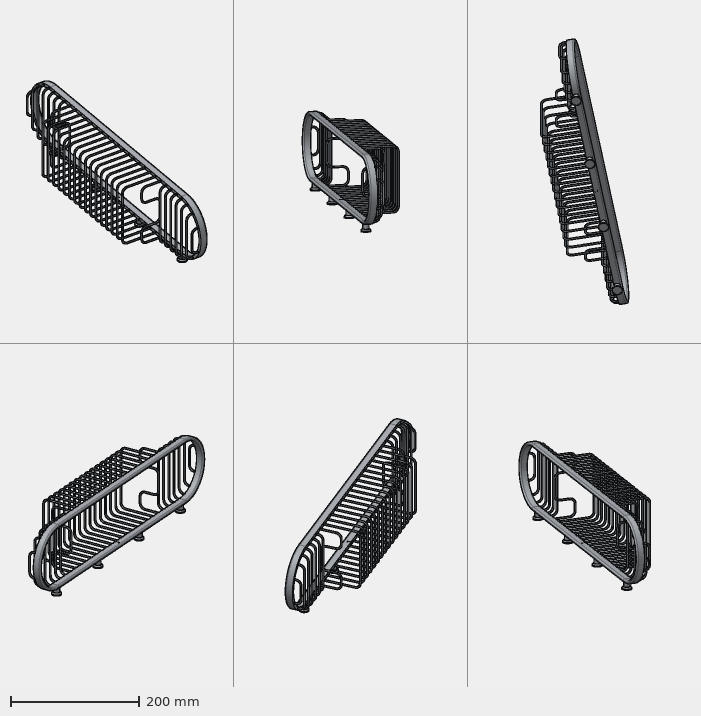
import cadquery as cq
import math

ring_length = 481.0
ring_height = 110.5
ring_bar = 6.0
ring_depth = 13.0
back_round = 2.65
hole_dia = 4.0
hole_depth = 6.3

wire_dia = 3.0
bend_radius = 9.0
wire_span = 465.0
long_per_side = 8
hooks_per_side = 1
short_per_side = 7
overall_depth = 76.5
hook_depth = 50.5
short_depth = 26.0
hook_leg_z = 22.5

foot_count = 4
wires_per_foot = 8
foot_height = 13.0
stem_dia = 10.0
disc_dia = 16.0
disc_thickness = 2.0
cone_height = 2.5
cone_top_dia = 12.0

end_radius = ring_height / 2
end_center_x = ring_length / 2 - end_radius
mid_radius = end_radius - ring_bar / 2
anchor_y = -ring_depth / 2
wire_radius = wire_dia / 2
wires_per_side = long_per_side + hooks_per_side + short_per_side
wire_pitch = wire_span / (2 * wires_per_side - 1)
foot_pitch = wires_per_foot * wire_pitch


def make_ring():
    """Flat-bar stadium ring with a rounded back and one blind hole in the lower bar."""
    outer = cq.Workplane("XZ").slot2D(ring_length, ring_height).extrude(ring_depth)
    inner_length = ring_length - 2 * ring_bar
    inner_height = ring_height - 2 * ring_bar
    inner = cq.Workplane("XZ").slot2D(inner_length, inner_height).extrude(ring_depth)
    ring = outer.cut(inner).faces(">Y").edges().fillet(back_round)
    front_face = cq.Workplane("XZ", origin=(0, -ring_depth, -mid_radius))
    hole = front_face.circle(hole_dia / 2).extrude(-hole_depth)
    return ring.cut(hole)


def ring_mid_z(x):
    """Height of the middle of the ring bar at a given X."""
    beyond = max(abs(x) - end_center_x, 0)
    return math.sqrt(mid_radius**2 - beyond**2)


def step_from(start, target, distance):
    """Point a given distance from start toward target."""
    share = distance / math.dist(start, target)
    return tuple(s + share * (t - s) for s, t in zip(start, target))


def bent_wire(x, corners):
    """Round wire at X along straight (y, z) runs joined by rounded bends."""
    path = cq.Workplane("YZ", origin=(x, 0, 0)).moveTo(*corners[0])
    for before, corner, after in zip(corners, corners[1:], corners[2:]):
        entry = step_from(corner, before, bend_radius)
        leave = step_from(corner, after, bend_radius)
        path = path.lineTo(*entry).tangentArcPoint(leave, relative=False)
    path = path.lineTo(*corners[-1])
    start_y, start_z = corners[0]
    profile = cq.Workplane("XZ", origin=(x, start_y, start_z)).circle(wire_radius)
    return profile.sweep(path)


def make_loop(x, depth):
    """U-shaped wire from the upper bar, out to depth and back to the lower bar."""
    z = ring_mid_z(x)
    front_y = wire_radius - depth
    return bent_wire(x, [(anchor_y, z), (front_y, z), (front_y, -z), (anchor_y, -z)])


def make_hook(x):
    """Serpentine wire: an upper and a lower bay joined by an upright near the ring."""
    z = ring_mid_z(x)
    front_y = wire_radius - hook_depth
    upright_y = -ring_depth - wire_radius
    upper = [(anchor_y, z), (front_y, z), (front_y, hook_leg_z), (upright_y, hook_leg_z)]
    lower = [(y, -z_corner) for y, z_corner in reversed(upper)]
    return bent_wire(x, upper + lower)


def make_foot(x):
    """Stem with a flared disc, revolved about a vertical axis; disc back flush with the ring."""
    bottom = -end_radius - foot_height
    disc_top = bottom + disc_thickness
    profile = [
        (0, bottom),
        (disc_dia / 2, bottom),
        (disc_dia / 2, disc_top),
        (cone_top_dia / 2, disc_top + cone_height),
        (stem_dia / 2, disc_top + cone_height),
        (stem_dia / 2, -mid_radius),
        (0, -mid_radius),
    ]
    foot = cq.Workplane("XZ").polyline(profile).close().revolve(360, (0, 0), (0, 1))
    return foot.translate((x, -disc_dia / 2, 0))


result = make_ring()

for index in range(wires_per_side):
    for side in (-1, 1):
        wire_x = side * (index + 0.5) * wire_pitch
        if index < long_per_side:
            wire = make_loop(wire_x, overall_depth)
        elif index < long_per_side + hooks_per_side:
            wire = make_hook(wire_x)
        else:
            wire = make_loop(wire_x, short_depth)
        result = result.union(wire)

for index in range(foot_count):
    foot_x = (index - (foot_count - 1) / 2) * foot_pitch
    result = result.union(make_foot(foot_x))